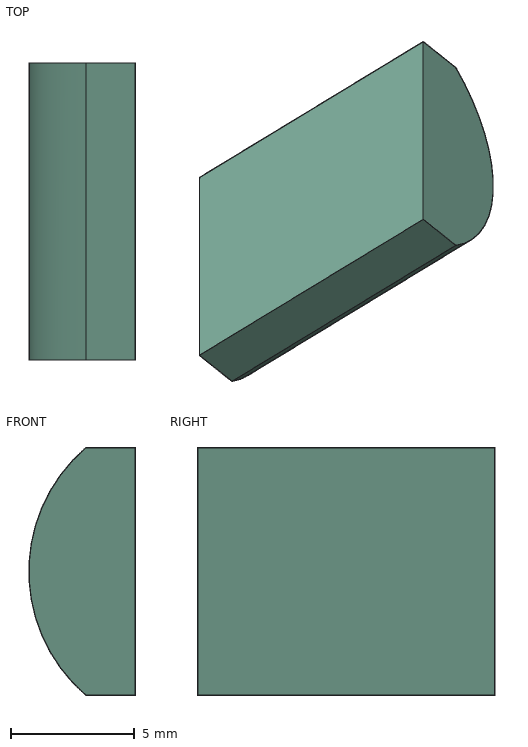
import cadquery as cq

length = 12.0
height = 10.0
center_thickness = 4.31
edge_thickness = 2.0

half_height = height / 2

profile = (
    cq.Workplane("XZ")
    .moveTo(0, -half_height)
    .lineTo(0, half_height)
    .lineTo(-edge_thickness, half_height)
    .threePointArc((-center_thickness, 0), (-edge_thickness, -half_height))
    .close()
)

result = profile.extrude(length / 2, both=True)